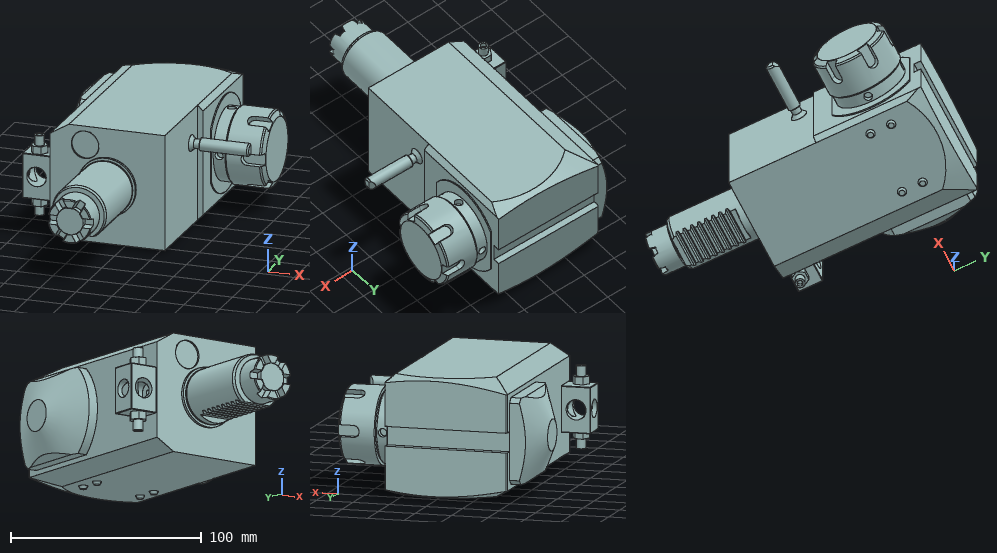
import cadquery as cq
import math


half_width = 32.0
half_height = 32.0
length = 114.0
bevel_width = 10.5
bevel_height = 6.2
pad_x = 35.0
pad_start = 51.0
pad_bevel = pad_x - half_width
crown_x = 9.2
crown_y = 65.0
crown_top_radius = 45.5
crown_rim_radius = 63.5
notch_width = 10.5
notch_depth = 4.0
plug_x = -12.5
plug_z = 21.6
plug_radius = 7.6
plug_depth = 1.0

spindle_y = 85.1
flange_radius = 26.8
flange_width = 45.3
flange_end = 35.6
neck_radius = 20.0
neck_end = 42.2
groove_radius = 19
nut_start = 43.2
nut_radius = 21.1
nut_end = 64
nut_edge_start = 61.8
nut_edge_end = 62.6
nut_edge_radius = 20.5
nut_face_radius = 17.3
nut_slots = 6
nut_slot_width = 6.4
nut_slot_start = 51.5
nut_slot_depth = 3.5
spanner_holes = 4
spanner_x = 39.0
spanner_radius = 2.2
spanner_depth = 3.5

cover_tip = -48.0
cover_rim = -37.4
cover_tip_radius = 8.5
cover_radius = 32.2
cover_half_height = 23.2
cover_end = 109.9
cover_corner = 2.6
cover_bevel_x = -38.5
cover_bevel_run = 7
cover_bevel_drop = 5.0

shank_radius = 15.0
shank_end = 45
shank_taper_length = 1.5
shank_taper_depth = 0.7
collar_radius = 16.1
collar_end = 1.5
relief_radius = 14.7
relief_end = 2.6
flat_z = -12.0
flat_start = 7.5
tooth_pitch = 4.2
tooth_count = 8
tooth_first = 11.8
tooth_depth = 1.4
tooth_root_width = 1.0
tooth_flank_angle = 30
drive_neck_radius = 9.5
drive_start = 46.0
drive_radius = 12.1
drive_end = 59.0
drive_chamfer = 0.5
core_radius = 7.5
core_recess = 0.7
drive_slots = 6
drive_slot_floor = 3.5
drive_slot_mouth = 5.2
drive_slot_depth = 3.8

block_half_height = 12.5
block_near = 1.2
block_far = 15.5
port_y = (block_near + block_far) / 2
fitting_x = -40.0
fitting_y = 6.0
hex_corners = 9.2
hex_top = 16.6
nipple_radius = 2.6
nipple_top = 22.1
front_port_radius = 5.4
side_port_radius = 4.8
nipple_bore_radius = 1.5
nipple_bore_depth = 2.6
feed_radius = 1.2
feed_depth = 5.2
block_chamfer = 0.3

pin_y = 41.2
pin_z = 14.2
pin_radius = 3.5
pin_neck_radius = 2.6
pin_foot_radius = 4.5
pin_foot_end = 34.0
pin_neck_end = 37.5
pin_end = 64.9
pin_chamfer = 0.9
pin_slope = 2.6

screw_x = (-13.1, 23.9)
screw_y = (79.0, 91.2)
screw_radius = 2.5
screw_tip_radius = 1.5
screw_height = 1.5

OVERLAP = 0.9


def box(x0, x1, y0, y1, z0, z1):
    return cq.Workplane("XY").box(x1 - x0, y1 - y0, z1 - z0, centered=False).translate((x0, y0, z0))


def turned_x(profile, y, z):
    """Solid of revolution about a line along X; the profile is (x, radius) points."""
    return cq.Workplane("XY").polyline(profile).close().revolve(360, (0, 0), (1, 0)).translate((0, y, z))


def turned_y(profile):
    """Solid of revolution about the Y axis; the profile is (radius, y) points."""
    return cq.Workplane("XY").polyline(profile).close().revolve(360, (0, 0), (0, 1))


def extruded_y(points, y0, y1):
    return cq.Workplane("XZ").polyline(points).close().extrude(y0 - y1).translate((0, y0, 0))


def make_housing():
    section = [
        (half_width, -half_height),
        (half_width, half_height),
        (bevel_width - half_width, half_height),
        (-half_width, half_height - bevel_height),
        (-half_width, bevel_height - half_height),
        (bevel_width - half_width, -half_height),
    ]
    pad_section = [
        (half_width, -half_height),
        (pad_x, pad_bevel - half_height),
        (pad_x, half_height - pad_bevel),
        (half_width, half_height),
        (0, half_height),
        (0, -half_height),
    ]
    body = extruded_y(section, 0, length).union(extruded_y(pad_section, pad_start, length))

    crown = (
        cq.Workplane("XZ")
        .polyline([
            (0, -half_height),
            (crown_top_radius, -half_height),
            (crown_rim_radius, bevel_height - half_height),
            (crown_rim_radius, half_height - bevel_height),
            (crown_top_radius, half_height),
            (0, half_height),
        ])
        .close()
        .revolve(360, (0, 0), (0, 1))
        .translate((crown_x, crown_y, 0))
    )
    crown = crown.union(box(-half_width, pad_x, 0, crown_y, -half_height, half_height))
    body = body.intersect(crown)

    half_notch = notch_width / 2
    body = body.cut(box(-half_width, pad_x, length - notch_depth, length, -half_notch, half_notch))
    plug = cq.Workplane("XZ").center(plug_x, plug_z).circle(plug_radius).extrude(-plug_depth)
    feed = cq.Workplane("YZ", origin=(-half_width, port_y, 0)).circle(feed_radius).extrude(feed_depth)
    return body.cut(plug).cut(feed)


def make_spindle():
    flange = turned_x(
        [(0, 0), (0, flange_radius), (flange_end, flange_radius), (flange_end, 0)], spindle_y, 0
    )
    flange = flange.intersect(
        box(pad_x - OVERLAP, flange_end, spindle_y - flange_width / 2, spindle_y + flange_width / 2,
            -flange_radius, flange_radius)
    )
    nut = turned_x([
        (pad_x, 0),
        (pad_x, neck_radius),
        (neck_end, neck_radius),
        (neck_end, groove_radius),
        (nut_start, groove_radius),
        (nut_start, nut_radius),
        (nut_edge_start, nut_radius),
        (nut_edge_end, nut_edge_radius),
        (nut_end, nut_face_radius),
        (nut_end, 0),
    ], 0, 0)

    half_slot = nut_slot_width / 2
    slot = (
        cq.Workplane("XY", origin=(0, 0, nut_radius - nut_slot_depth))
        .moveTo(nut_end, -half_slot)
        .lineTo(nut_slot_start + half_slot, -half_slot)
        .threePointArc((nut_slot_start, 0), (nut_slot_start + half_slot, half_slot))
        .lineTo(nut_end, half_slot)
        .close()
        .extrude(2 * nut_slot_depth)
    )
    for i in range(nut_slots):
        nut = nut.cut(slot.rotate((0, 0, 0), (1, 0, 0), 90 + i * 360 / nut_slots))

    hole = (
        cq.Workplane("XY", origin=(spanner_x, 0, neck_radius - spanner_depth))
        .circle(spanner_radius)
        .extrude(2 * spanner_depth)
    )
    for i in range(spanner_holes):
        nut = nut.cut(hole.rotate((0, 0, 0), (1, 0, 0), i * 360 / spanner_holes))
    return flange.union(nut.translate((0, spindle_y, 0)))


def make_cover():
    cone = turned_x([
        (OVERLAP - half_width, 0),
        (OVERLAP - half_width, cover_radius),
        (cover_rim, cover_radius),
        (cover_tip, cover_tip_radius),
        (cover_tip, 0),
    ], spindle_y, 0)
    limits = box(cover_tip, 0, spindle_y - cover_radius, cover_end, -cover_half_height, cover_half_height)
    limits = limits.edges(">Y and |X").chamfer(cover_corner)
    cover = cone.intersect(limits)

    bevel_x = cover_bevel_x - cover_bevel_run
    bevel = extruded_y([
        (cover_bevel_x, cover_half_height),
        (bevel_x, cover_half_height - cover_bevel_drop),
        (bevel_x, cover_half_height),
    ], spindle_y - cover_radius, cover_end)
    return cover.cut(bevel).cut(bevel.mirror("XY"))


def make_shank():
    shank = turned_y([
        (0, 0),
        (collar_radius, 0),
        (collar_radius, -collar_end),
        (relief_radius, -collar_end),
        (relief_radius, -relief_end),
        (shank_radius, -relief_end),
        (shank_radius, shank_taper_length - shank_end),
        (shank_radius - shank_taper_depth, -shank_end),
        (0, -shank_end),
    ])
    shank = shank.cut(
        box(-shank_radius, shank_radius, -shank_end, -flat_start, -shank_radius, flat_z)
    )
    half_root = tooth_root_width / 2
    half_mouth = half_root + tooth_depth * math.tan(math.radians(tooth_flank_angle))
    tooth_gap = (
        cq.Workplane("YZ")
        .polyline([
            (-half_mouth, flat_z),
            (-half_root, flat_z + tooth_depth),
            (half_root, flat_z + tooth_depth),
            (half_mouth, flat_z),
        ])
        .close()
        .extrude(shank_radius, both=True)
    )
    for i in range(tooth_count):
        shank = shank.cut(tooth_gap.translate((0, -tooth_first - i * tooth_pitch, 0)))
    return shank


def make_drive():
    drive = turned_y([
        (0, OVERLAP - shank_end),
        (drive_neck_radius, OVERLAP - shank_end),
        (drive_neck_radius, -drive_start),
        (drive_radius, -drive_start),
        (drive_radius, drive_chamfer - drive_end),
        (drive_radius - drive_chamfer, -drive_end),
        (core_radius, -drive_end),
        (core_radius, core_recess - drive_end),
        (0, core_recess - drive_end),
    ])
    floor_y = drive_slot_depth - drive_end
    slot = (
        cq.Workplane("YZ")
        .polyline([
            (floor_y, -drive_slot_floor / 2),
            (-drive_end, -drive_slot_mouth / 2),
            (-drive_end, drive_slot_mouth / 2),
            (floor_y, drive_slot_floor / 2),
        ])
        .close()
        .extrude(2 * drive_radius)
    )
    for i in range(drive_slots):
        drive = drive.cut(slot.rotate((0, 0, 0), (0, 1, 0), i * 360 / drive_slots))

    core = (
        cq.Workplane("XZ", origin=(0, floor_y + OVERLAP, 0))
        .circle(core_radius)
        .extrude(drive_slot_depth + OVERLAP - core_recess)
    )
    return drive.union(core)


def make_coolant_block():
    block = box(cover_tip, -half_width, block_near, block_far, -block_half_height, block_half_height)
    block = block.faces("<X or <Y or >Y").edges("not >X").chamfer(block_chamfer)
    fitting = cq.Workplane("XY", origin=(fitting_x, fitting_y, 0))
    block = block.union(fitting.polygon(6, hex_corners).extrude(hex_top, both=True))
    block = block.union(fitting.circle(nipple_radius).extrude(nipple_top, both=True))

    front_port = cq.Workplane("XZ", origin=(fitting_x, 0, 0)).circle(front_port_radius).extrude(-block_far)
    side_port = (
        cq.Workplane("YZ", origin=(cover_tip, port_y, 0))
        .circle(side_port_radius)
        .extrude(-half_width - cover_tip)
    )
    bore = (
        cq.Workplane("XY", origin=(fitting_x, fitting_y, nipple_top))
        .circle(nipple_bore_radius)
        .extrude(-nipple_bore_depth)
    )
    return block.cut(front_port).cut(side_port).cut(bore).cut(bore.mirror("XY"))


def make_pin():
    pin = turned_x([
        (half_width - OVERLAP, 0),
        (half_width - OVERLAP, pin_foot_radius),
        (half_width, pin_foot_radius),
        (pin_foot_end, pin_neck_radius),
        (pin_neck_end, pin_neck_radius),
        (pin_neck_end, pin_radius),
        (pin_end - pin_chamfer, pin_radius),
        (pin_end, pin_radius - pin_chamfer),
        (pin_end, 0),
    ], pin_y, pin_z)
    far_side = pin_y + pin_radius
    slope = (
        cq.Workplane("XY", origin=(0, 0, pin_z))
        .polyline([(pin_end - pin_slope, far_side), (pin_end, far_side), (pin_end, far_side - pin_slope)])
        .close()
        .extrude(pin_radius, both=True)
    )
    return pin.cut(slope)


def make_screw(x, y):
    return cq.Workplane("XY").add(
        cq.Solid.makeCone(
            screw_radius, screw_tip_radius, screw_height, pnt=cq.Vector(x, y, -half_height),
            dir=cq.Vector(0, 0, -1),
        )
    )


result = make_housing()
for piece in (make_spindle(), make_cover(), make_shank(), make_drive(), make_coolant_block(), make_pin()):
    result = result.union(piece)
for x in screw_x:
    for y in screw_y:
        result = result.union(make_screw(x, y))